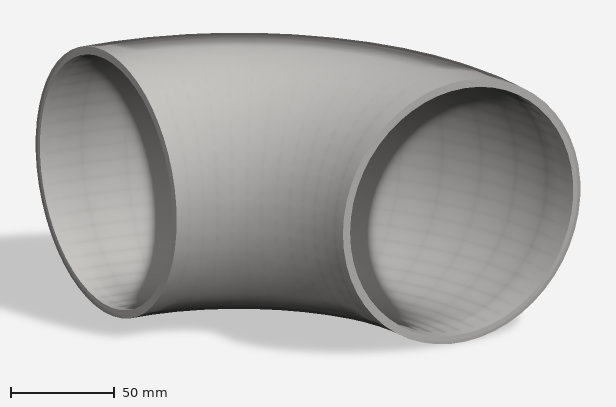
import cadquery as cq

OUTER_REACH = 191.5
PIPE_DIAMETER = 133.0
WALL = 4.0
BEND_ANGLE = 90.0

pipe_radius = PIPE_DIAMETER / 2
bore_radius = pipe_radius - WALL
bend_radius = OUTER_REACH - pipe_radius

pipe_section = (
    cq.Workplane("XZ")
    .center(-bend_radius, 0)
    .circle(pipe_radius)
    .circle(bore_radius)
)

result = pipe_section.revolve(
    BEND_ANGLE,
    axisStart=(bend_radius, 2, 0),
    axisEnd=(bend_radius, 0, 0),
)